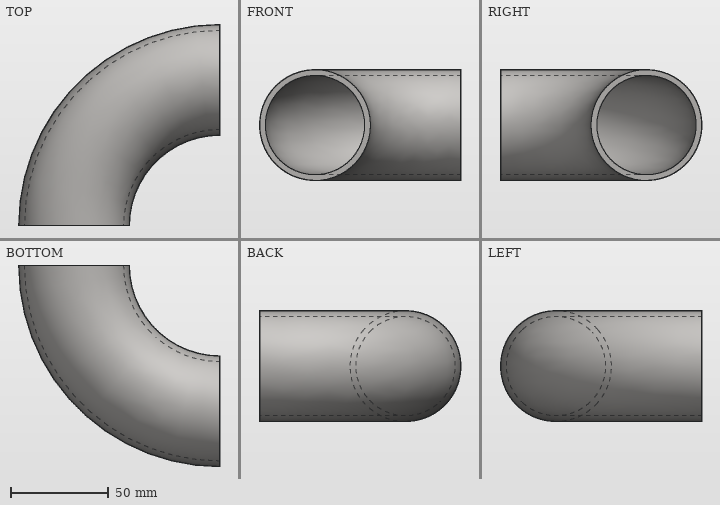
import cadquery as cq

outer_reach = 103.5
pipe_diameter = 57.0
wall_thickness = 3.0
bend_angle = 90.0

pipe_radius = pipe_diameter / 2
bore_radius = pipe_radius - wall_thickness
bend_radius = outer_reach - pipe_radius


def pipe_elbow():
    """Sweep the pipe's ring section a quarter turn about the bend axis.

    The bend axis is parallel to Z through X = outer_reach, Y = 0. The section
    starts on the open end facing -Y and finishes on the open end facing +X.
    """
    ring_section = (
        cq.Workplane("XZ")
        .center(pipe_radius, 0)
        .circle(pipe_radius)
        .circle(bore_radius)
    )
    return ring_section.revolve(bend_angle, (bend_radius, 0), (bend_radius, -1))


result = pipe_elbow()